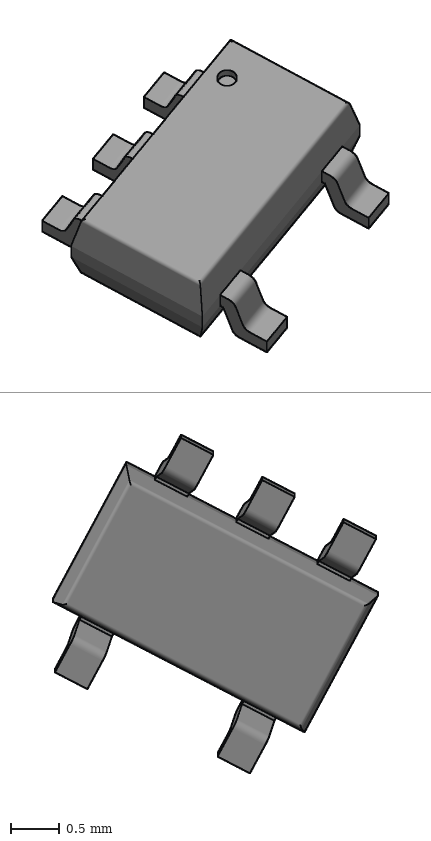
import cadquery as cq
import math

BODY_LENGTH = 2.95
BODY_WIDTH = 1.635
BODY_BOTTOM_Z = 0.05
BODY_TOP_Z = 1.0
CROWN_DRAFT = 10.5
BASE_DRAFT = 13.5
RIM_RADIUS = 0.04

MARKER_DIAMETER = 0.205
MARKER_DEPTH = 0.1
MARKER_X = -0.49

LEAD_SPAN = 2.8
LEAD_WIDTH = 0.38
LEAD_PITCH = 0.953
LEAD_THICKNESS = 0.192
LEAD_RISE = 0.378
LEAD_LEAN = 20.0
FOOT_LENGTH = 0.275
BEND_RADIUS = 0.097

BAND_BOTTOM_Z = LEAD_RISE
BAND_TOP_Z = LEAD_RISE + LEAD_THICKNESS

LEAD_POSITIONS = [(-1, -1), (-1, 0), (-1, 1), (1, -1), (1, 1)]


def body_block(start_z, height, draft=0.0):
    """Full-size rectangle extruded from start_z, narrowing by the draft angle."""
    return (
        cq.Workplane("XY", origin=(0, 0, start_z))
        .rect(BODY_WIDTH, BODY_LENGTH)
        .extrude(height, taper=draft)
    )


def make_body():
    """Moulded package body with rounded rims and the pin-one marker."""
    band = body_block(BAND_BOTTOM_Z, BAND_TOP_Z - BAND_BOTTOM_Z)
    crown = body_block(BAND_TOP_Z, BODY_TOP_Z - BAND_TOP_Z, CROWN_DRAFT)
    base = body_block(BAND_BOTTOM_Z, BODY_BOTTOM_Z - BAND_BOTTOM_Z, BASE_DRAFT)
    body = band.union(crown).union(base)
    body = body.faces(">Z or <Z").edges().fillet(RIM_RADIUS)
    marker = (
        cq.Workplane("XY", origin=(MARKER_X, LEAD_PITCH, BODY_TOP_Z))
        .circle(MARKER_DIAMETER / 2)
        .extrude(-MARKER_DEPTH)
    )
    return body.cut(marker).solids()


def make_lead(side, row):
    """Lead of constant thickness running from its toe to the side of the body."""
    toe_x = -LEAD_SPAN / 2
    root_x = -BODY_WIDTH / 2
    foot_corner_x = toe_x + FOOT_LENGTH
    shoulder_corner_x = foot_corner_x + LEAD_RISE * math.tan(math.radians(LEAD_LEAN))
    bend_angle = math.radians(90.0 - LEAD_LEAN)
    mitre_shift = LEAD_THICKNESS * math.tan(bend_angle / 2)
    heel_x = foot_corner_x + mitre_shift
    center_y = row * LEAD_PITCH

    lead = (
        cq.Workplane("XZ", origin=(0, center_y + LEAD_WIDTH / 2, 0))
        .moveTo(toe_x, 0)
        .lineTo(heel_x, 0)
        .lineTo(shoulder_corner_x + mitre_shift, BAND_BOTTOM_Z)
        .lineTo(root_x, BAND_BOTTOM_Z)
        .lineTo(root_x, BAND_TOP_Z)
        .lineTo(shoulder_corner_x, BAND_TOP_Z)
        .lineTo(foot_corner_x, LEAD_THICKNESS)
        .lineTo(toe_x, LEAD_THICKNESS)
        .close()
        .extrude(LEAD_WIDTH)
    )
    rounded_corners = [
        (heel_x, 0),
        (shoulder_corner_x, BAND_TOP_Z),
        (foot_corner_x, LEAD_THICKNESS),
    ]
    for corner_x, corner_z in rounded_corners:
        corner = cq.selectors.NearestToPointSelector((corner_x, center_y, corner_z))
        lead = lead.edges("|Y").edges(corner).fillet(BEND_RADIUS)
    if side > 0:
        lead = lead.mirror("YZ")
    return lead.solids()


body = make_body()
leads = [make_lead(side, row) for side, row in LEAD_POSITIONS]

result = cq.Compound.makeCompound([body.val(), *[lead.val() for lead in leads]])